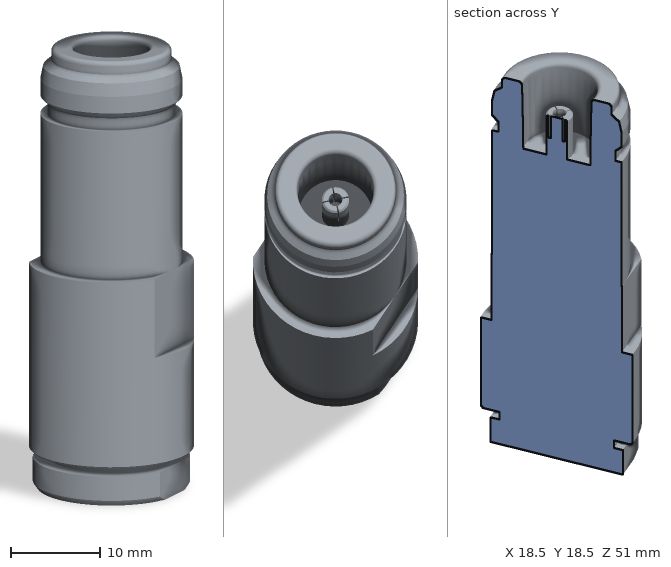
import cadquery as cq

total_height = 50.95
nut_chamfer_height = 0.65
nut_top = 3.45
sleeve_bottom = 4.45
sleeve_top = 26.1
sleeve_flat_bottom = 16.95
body_top = 43.25
collar_chamfer_bottom = 44.6
collar_bottom = 45.35
collar_crown_bottom = 47.3
collar_crown_top = 48.75
tip_bottom = 49.5

nut_radius = 8.8
nut_bottom_radius = 8.35
neck_radius = 7.05
sleeve_diameter = 18.5
sleeve_radius = sleeve_diameter / 2
body_radius = 7.95
groove_radius = 7.2
crown_top_radius = 7.65
tip_radius = 6.7

sleeve_chamfer = 0.25
tip_fillet = 0.5
nut_flat_offset = 8.05
sleeve_flat_offset = body_radius

bore_mouth_radius = 4.3
bore_floor_radius = 4.15
bore_depth = 9.15
mouth_rounding = 0.5
contact_radius = 1.55
contact_hole_radius = 0.75
contact_height = 5.45
contact_chamfer = 0.2
contact_slot_width = 0.15
contact_slot_depth = 3.05
slot_angles = (45, 135)


def revolve_profile(points):
    """Revolve a closed (radius, height) outline about Z."""
    return cq.Workplane("XZ").polyline(points).close().revolve(360, (0, 0), (0, 1))


def make_outer_body():
    body = revolve_profile([
        (0, 0),
        (nut_bottom_radius, 0),
        (nut_radius, nut_chamfer_height),
        (nut_radius, nut_top),
        (neck_radius, nut_top),
        (neck_radius, sleeve_bottom),
        (sleeve_radius - sleeve_chamfer, sleeve_bottom),
        (sleeve_radius, sleeve_bottom + sleeve_chamfer),
        (sleeve_radius, sleeve_top),
        (body_radius, sleeve_top),
        (body_radius, body_top),
        (groove_radius, body_top),
        (groove_radius, collar_chamfer_bottom),
        (body_radius, collar_bottom),
        (body_radius, collar_crown_bottom),
        (crown_top_radius, collar_crown_top),
        (tip_radius, tip_bottom),
        (tip_radius, total_height),
        (0, total_height),
    ])
    return body.faces(">Z").edges().fillet(tip_fillet)


def cut_flats(body, offset, bottom, top):
    """Cut a pair of opposite wrench flats on the -X and +X sides."""
    depth = sleeve_radius
    for side in (-1, 1):
        cutter = cq.Workplane("XY").box(
            depth, sleeve_diameter, top - bottom, centered=(True, True, False)
        )
        body = body.cut(cutter.translate((side * (offset + depth / 2), 0, bottom)))
    return body


def cut_socket(body):
    """Cut the slightly tapered bore and round its mouth."""
    bore = revolve_profile([
        (0, total_height - bore_depth),
        (bore_floor_radius, total_height - bore_depth),
        (bore_mouth_radius, total_height),
        (0, total_height),
    ])
    body = body.cut(bore)
    mouth = cq.selectors.RadiusNthSelector(0)
    return body.faces(">Z").edges(mouth).fillet(mouth_rounding)


def make_contact():
    """Hollow contact split into four fingers."""
    floor = total_height - bore_depth
    contact = cq.Workplane("XY").workplane(offset=floor).circle(contact_radius).extrude(contact_height)
    contact = contact.faces(">Z").chamfer(contact_chamfer)
    contact = contact.faces(">Z").workplane().hole(2 * contact_hole_radius, contact_slot_depth)
    slot_bottom = floor + contact_height - contact_slot_depth
    for angle in slot_angles:
        slot = cq.Workplane("XY").box(
            2 * contact_radius, contact_slot_width, contact_slot_depth, centered=(True, True, False)
        )
        slot = slot.rotate((0, 0, 0), (0, 0, 1), angle)
        contact = contact.cut(slot.translate((0, 0, slot_bottom)))
    return contact


connector = make_outer_body()
connector = cut_flats(connector, nut_flat_offset, 0, nut_top)
connector = cut_flats(connector, sleeve_flat_offset, sleeve_flat_bottom, sleeve_top)
connector = cut_socket(connector)
result = connector.union(make_contact())